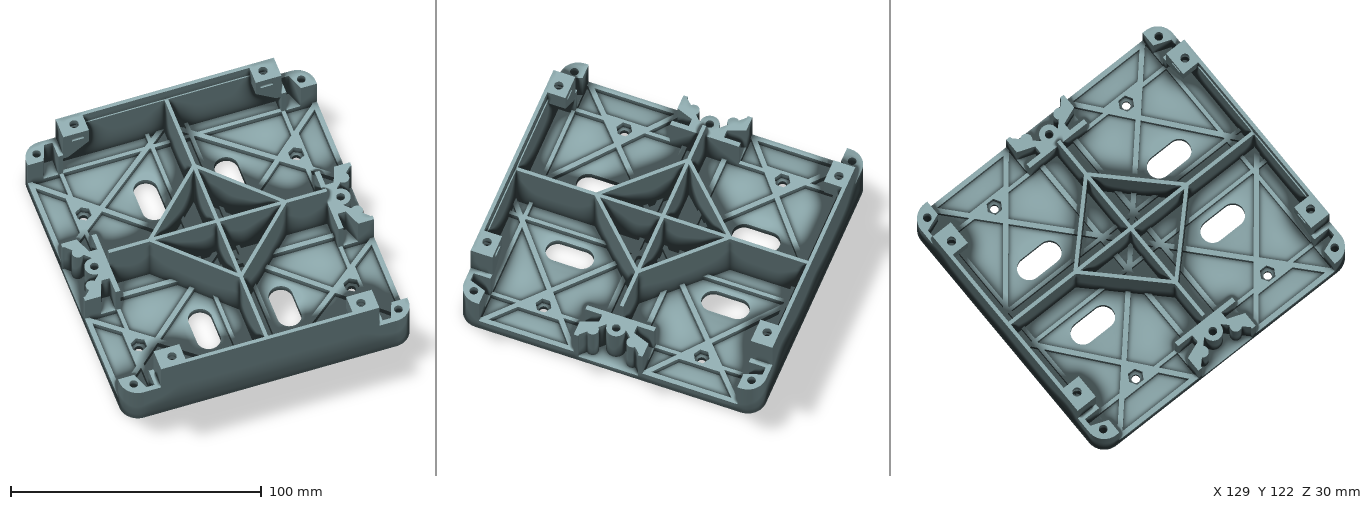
import cadquery as cq
import math

LENGTH = 129.0
WIDTH = 122.0
HEIGHT = 30.0
HALF_LENGTH = LENGTH / 2
HALF_WIDTH = WIDTH / 2
CORNER_RADIUS = 7.7

FLOOR_TOP = 2.6
RIB_TOP = 5.2
BLOCK_TOP = 17.5
DIVIDER_TOP = 25.0

RIM_THICKNESS = 2.0
RIB_THICKNESS = 1.5
WIDE_RIB_THICKNESS = 2.0
DIVIDER_THICKNESS = 1.5

SIDE_WALL_THICKNESS = 2.0
SIDE_WALL_TOP_THICKNESS = 1.5
SIDE_STEP_LEVEL = DIVIDER_TOP

STRIP_WIDTH = 9.3
STRIP_EDGE_X = HALF_LENGTH - STRIP_WIDTH
END_STRIP_DEPTH = 15.0
END_STRIP_Y = HALF_WIDTH - END_STRIP_DEPTH

POST_LENGTH = 10.8
POST_SIDE_DEPTH = 7.7
POST_PLATE_DEPTH = 14.7
POST_HOLE_DIAMETER = 3.7
POST_HOLE_SETBACK = 6.2
POST_HOLE_X = HALF_LENGTH - STRIP_WIDTH / 2
POST_HOLE_Y = END_STRIP_Y - POST_HOLE_SETBACK
POST_HOLE_DEPTH = 10.3
NUT_SLOT_WIDTH = 5.2
NUT_SLOT_HEIGHT = 2.0
NUT_SLOT_TOP_DEPTH = 2.6
NUT_SLOT_REACH = 7.2

POCKET_LENGTH = 7.2
POCKET_NEAR_DEPTH = 6.7
POCKET_FAR_DEPTH = 9.4
POCKET_BACK_DEPTH = 12.9

BLOCK_HALF_LENGTH = 14.7
NOTCH_HALF_LENGTH = 12.8
NOTCH_LIP_DEPTH = 0.8
NOTCH_DEPTH = 9.2
BOSS_RADIUS = 4.0
BOSS_DEPTH = 9.0
BUMP_RADIUS = 2.5
BUMP_DEPTH = 5.0

DIAMOND_OUTER_REACH = 29.7
LENGTHWISE_RIB_Y = 8.3
CROSSWISE_RIB_X = 8.5

SCREW_HOLE_DIAMETER = 3.5
CORNER_HOLE_INSET = 5.2
NUT_HOLE_X = 33.8
NUT_HOLE_Y = 44.9
NUT_FLATS = 5.8
NUT_RECESS_DEPTH = 3.2
PAD_DEPTH = 11.9
SLOT_X = 33.3
SLOT_Y = 17.0
SLOT_LENGTH = 20.1
SLOT_WIDTH = 9.8


def box(x_range, y_range, z_range):
    """Box between two corners, given as ranges along X, Y and Z."""
    sizes = [high - low for low, high in (x_range, y_range, z_range)]
    start = (x_range[0], y_range[0], z_range[0])
    return cq.Workplane("XY").box(*sizes, centered=False).translate(start)


def prism(points, bottom, top):
    """Upright prism over a polygon."""
    return cq.Workplane("XY").workplane(offset=bottom).polyline(points).close().extrude(top - bottom)


def cylinder(x, y, diameter, bottom, top):
    """Upright cylinder."""
    return cq.Workplane("XY").workplane(offset=bottom).center(x, y).circle(diameter / 2).extrude(top - bottom)


def straight_rib(start, end, thickness, top):
    """Rib from the underside up to a level, centred on the line between two points."""
    run_x = end[0] - start[0]
    run_y = end[1] - start[1]
    middle = ((start[0] + end[0]) / 2, (start[1] + end[1]) / 2, 0)
    rib = cq.Workplane("XY").box(math.hypot(run_x, run_y), thickness, top, centered=(True, True, False))
    return rib.rotate((0, 0, 0), (0, 0, 1), math.degrees(math.atan2(run_y, run_x))).translate(middle)


def four_fold(quarter):
    """The quarter shape together with its mirror images across X = 0 and Y = 0."""
    half = quarter.union(quarter.mirror("YZ"))
    return half.union(half.mirror("XZ"))


def side_pocket(open_x, direction):
    """Pocket that opens sideways at open_x and runs from there along X in the given direction."""
    far_x = open_x + direction * POCKET_LENGTH
    points = [
        (open_x, HALF_WIDTH - POCKET_NEAR_DEPTH),
        (far_x, HALF_WIDTH - POCKET_FAR_DEPTH),
        (far_x, HALF_WIDTH - POCKET_BACK_DEPTH),
        (open_x, HALF_WIDTH - POCKET_BACK_DEPTH),
    ]
    return prism(points, RIB_TOP, BLOCK_TOP)


def side_wall():
    """Quarter of the two side walls, up to the ends of the raised part."""
    inner_x = HALF_LENGTH - SIDE_WALL_THICKNESS
    top_inner_x = HALF_LENGTH - SIDE_WALL_TOP_THICKNESS
    lower = box((inner_x, HALF_LENGTH), (0, END_STRIP_Y), (0, SIDE_STEP_LEVEL))
    upper = box((top_inner_x, HALF_LENGTH), (0, END_STRIP_Y), (SIDE_STEP_LEVEL, HEIGHT))
    return lower.union(upper)


def screw_post():
    """Post hung on the side wall, with a sloping underside, a screw hole and a nut slot."""
    inner_y = END_STRIP_Y - POST_LENGTH
    plate_y = END_STRIP_Y - RIM_THICKNESS
    profile = [
        (inner_y, HEIGHT),
        (inner_y, HEIGHT - POST_SIDE_DEPTH),
        (plate_y, HEIGHT - POST_PLATE_DEPTH),
        (END_STRIP_Y, HEIGHT - POST_PLATE_DEPTH),
        (END_STRIP_Y, HEIGHT),
    ]
    post = cq.Workplane("YZ").workplane(offset=STRIP_EDGE_X).polyline(profile).close().extrude(STRIP_WIDTH)
    hole = cylinder(POST_HOLE_X, POST_HOLE_Y, POST_HOLE_DIAMETER, HEIGHT - POST_HOLE_DEPTH, HEIGHT)
    slot_top = HEIGHT - NUT_SLOT_TOP_DEPTH
    nut_slot = box(
        (STRIP_EDGE_X, STRIP_EDGE_X + NUT_SLOT_REACH),
        (POST_HOLE_Y - NUT_SLOT_WIDTH / 2, POST_HOLE_Y + NUT_SLOT_WIDTH / 2),
        (slot_top - NUT_SLOT_HEIGHT, slot_top),
    )
    return post.cut(hole).cut(nut_slot)


def corner_block():
    """Corner boss with its pocket."""
    block = box((STRIP_EDGE_X, HALF_LENGTH), (END_STRIP_Y, HALF_WIDTH), (0, BLOCK_TOP))
    return block.cut(side_pocket(STRIP_EDGE_X, 1))


def middle_block():
    """Half of the block in the middle of an open edge, with its notch, boss and bump."""
    block = box((0, BLOCK_HALF_LENGTH), (END_STRIP_Y, HALF_WIDTH), (0, BLOCK_TOP))
    flank_reach = NOTCH_HALF_LENGTH + NOTCH_LIP_DEPTH
    notch_points = [
        (0, HALF_WIDTH),
        (NOTCH_HALF_LENGTH, HALF_WIDTH),
        (NOTCH_HALF_LENGTH, HALF_WIDTH - NOTCH_LIP_DEPTH),
        (flank_reach - NOTCH_DEPTH, HALF_WIDTH - NOTCH_DEPTH),
        (0, HALF_WIDTH - NOTCH_DEPTH),
    ]
    notch = prism(notch_points, FLOOR_TOP, BLOCK_TOP)
    bump_x = flank_reach - BUMP_DEPTH
    bump = cylinder(bump_x, HALF_WIDTH - BUMP_DEPTH, 2 * BUMP_RADIUS, 0, BLOCK_TOP)
    boss = cylinder(0, HALF_WIDTH - BOSS_DEPTH, 2 * BOSS_RADIUS, 0, BLOCK_TOP)
    pocket = side_pocket(BLOCK_HALF_LENGTH, -1)
    return block.cut(notch).union(bump).union(boss).cut(pocket)


def dividers():
    """Quarter of the tall central cross and diamond."""
    half = DIVIDER_THICKNESS / 2
    along_x = box((0, HALF_LENGTH - SIDE_WALL_THICKNESS), (0, half), (0, DIVIDER_TOP))
    along_y = box((0, half), (0, END_STRIP_Y), (0, DIVIDER_TOP))
    outer = DIAMOND_OUTER_REACH
    inner = outer - DIVIDER_THICKNESS * math.sqrt(2)
    diamond = prism([(inner, 0), (outer, 0), (0, outer), (0, inner)], 0, DIVIDER_TOP)
    return along_x.union(along_y).union(diamond)


def low_ribs():
    """Quarter of the low rib grid, with the pad around the nut recess."""
    wall_x = HALF_LENGTH - SIDE_WALL_THICKNESS
    rib_y = END_STRIP_Y + RIB_THICKNESS / 2
    rib_x = STRIP_EDGE_X + RIB_THICKNESS / 2
    rim_y = HALF_WIDTH - RIM_THICKNESS / 2
    straight = [
        ((0, LENGTHWISE_RIB_Y), (wall_x, LENGTHWISE_RIB_Y), RIB_THICKNESS),
        ((0, rib_y), (wall_x, rib_y), RIB_THICKNESS),
        ((rib_x, 0), (rib_x, END_STRIP_Y), RIB_THICKNESS),
        ((CROSSWISE_RIB_X, 0), (CROSSWISE_RIB_X, END_STRIP_Y), WIDE_RIB_THICKNESS),
        ((BLOCK_HALF_LENGTH, rim_y), (STRIP_EDGE_X, rim_y), RIM_THICKNESS),
    ]
    inward_slope = HALF_WIDTH / STRIP_EDGE_X
    outward_slope = HALF_WIDTH / (HALF_LENGTH - BLOCK_HALF_LENGTH)
    diagonals = [
        ((0, 0), (STRIP_EDGE_X, HALF_WIDTH), WIDE_RIB_THICKNESS),
        ((HALF_LENGTH, 0), (BLOCK_HALF_LENGTH, HALF_WIDTH), WIDE_RIB_THICKNESS),
    ]
    ribs = cq.Workplane("XY")
    for start, end, thickness in straight + diagonals:
        ribs = ribs.union(straight_rib(start, end, thickness, RIB_TOP))

    crossing_x = HALF_LENGTH * outward_slope / (inward_slope + outward_slope)
    pad_y = HALF_WIDTH - PAD_DEPTH
    pad_points = [
        (crossing_x, crossing_x * inward_slope),
        (pad_y / inward_slope, pad_y),
        (HALF_LENGTH - pad_y / outward_slope, pad_y),
    ]
    quarter = box((0, HALF_LENGTH), (0, HALF_WIDTH), (0, RIB_TOP))
    return ribs.union(prism(pad_points, 0, RIB_TOP)).intersect(quarter)


def through_openings():
    """Quarter of the screw holes, nut recesses and mounting slots."""
    corner_x = HALF_LENGTH - CORNER_HOLE_INSET
    corner_y = HALF_WIDTH - CORNER_HOLE_INSET
    corner = cylinder(corner_x, corner_y, SCREW_HOLE_DIAMETER, 0, BLOCK_TOP)
    middle = cylinder(0, HALF_WIDTH - BOSS_DEPTH, SCREW_HOLE_DIAMETER, 0, BLOCK_TOP)
    nut_hole = cylinder(NUT_HOLE_X, NUT_HOLE_Y, SCREW_HOLE_DIAMETER, 0, RIB_TOP)
    nut_corners = NUT_FLATS / math.cos(math.pi / 6)
    recess = (
        cq.Workplane("XY")
        .workplane(offset=RIB_TOP - NUT_RECESS_DEPTH)
        .center(NUT_HOLE_X, NUT_HOLE_Y)
        .polygon(6, nut_corners)
        .extrude(NUT_RECESS_DEPTH)
    )
    slot = cq.Workplane("XY").center(SLOT_X, SLOT_Y).slot2D(SLOT_LENGTH, SLOT_WIDTH).extrude(RIB_TOP)
    return corner.union(middle).union(nut_hole).union(recess).union(slot)


floor = cq.Workplane("XY").box(LENGTH, WIDTH, FLOOR_TOP, centered=(True, True, False))
envelope = (
    cq.Workplane("XY")
    .box(LENGTH, WIDTH, HEIGHT, centered=(True, True, False))
    .edges("|Z")
    .fillet(CORNER_RADIUS)
)
quarter_features = side_wall()
for feature in (screw_post(), corner_block(), middle_block(), dividers(), low_ribs()):
    quarter_features = quarter_features.union(feature)

result = floor.union(four_fold(quarter_features)).intersect(envelope).cut(four_fold(through_openings()))